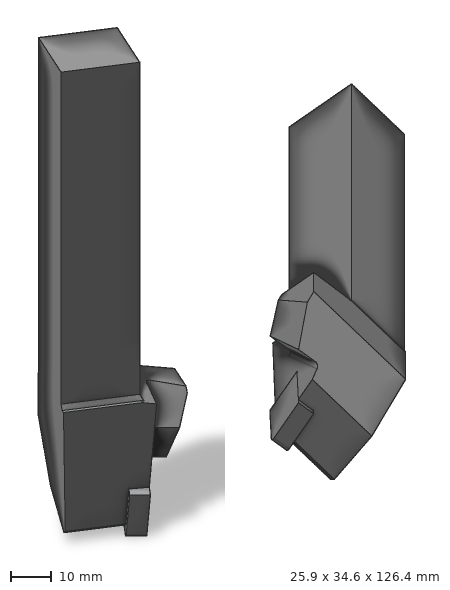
import cadquery as cq
import math

top_z = 126.4
shank_side = 20.0
shank_left = 0.4
shoulder_z = 34.9

foot_height = 1.3
foot_right = 1.1
foot_back = 0.8

head_depth = 34.6
flank_bottom_z = 23.6
heel_x = 10.9
heel_z = 9.6
nose_x = 22.9
nose_z = 2.4
nose_side_x = 24.0
nose_side_z = 3.3
head_right = 22.5

shoulder_back_z = 31.6
shoulder_drop = (shoulder_z - shoulder_back_z) / (head_depth - shank_side)

seat_y = 22.5
seat_slope_x = -0.09
seat_slope_z = 0.092

ridge_x = 16.2
ridge_z = 24.9
upper_wall_run = 15.2
upper_wall_angle = 132.5
lower_wall_run = 17.7
lower_wall_angle = 236.0
gutter_right = 37.9
gutter_bottom = -6.3
gutter_height = 19.0
gutter_fillet = 1.3

relief_slope = 0.3
relief_y = 28.9
relief_size = 75.8
relief_depth = 19.0

insert_side = 11.6
insert_tip_radius = 0.6
insert_thickness = 5.2
insert_tip_x = 26.0
insert_tip_z = -0.5
insert_edge_angle = 92.5
insert_corner = 57.0


def sloped_plane(height, slope_x, slope_z):
    """Plane y = height + slope_x * x + slope_z * z, with its normal toward the front."""
    return cq.Plane(
        origin=(0, height, 0),
        xDir=(1, slope_x, 0),
        normal=(slope_x, -1, slope_z),
    )


def polar(start, length, angle):
    """Point at a distance and an angle in degrees from a start point."""
    turn = math.radians(angle)
    return (start[0] + length * math.cos(turn), start[1] + length * math.sin(turn))


seat = sloped_plane(seat_y, seat_slope_x, seat_slope_z)


def make_insert():
    tip = (insert_tip_x, insert_tip_z)
    lower_edge_angle = insert_edge_angle + insert_corner
    upper = polar(tip, insert_side, insert_edge_angle)
    left = polar(tip, insert_side, lower_edge_angle)
    inner = polar(upper, insert_side, lower_edge_angle)
    blank = cq.Workplane(seat).polyline([tip, upper, inner, left]).close().extrude(insert_thickness)
    middle = seat.toWorldCoords((*tip, insert_thickness / 2))
    tip_edge = cq.selectors.NearestToPointSelector(middle.toTuple())
    return blank.edges(tip_edge).fillet(insert_tip_radius)


def make_head():
    outline = [
        (0, shoulder_z),
        (0, flank_bottom_z),
        (heel_x, heel_z),
        (nose_x, nose_z),
        (nose_side_x, nose_side_z),
        (head_right, shoulder_z),
    ]
    return cq.Workplane("XZ").polyline(outline).close().extrude(-head_depth)


def corners(left, right, depth):
    """Corners of a rectangle in XY that starts on y = 0."""
    return [(left, 0), (right, 0), (right, depth), (left, depth)]


def make_shoulder_slope():
    """Wedge above the sloping part of the shoulder."""
    profile = [
        (shank_side, shoulder_z),
        (head_depth, shoulder_z),
        (head_depth, shoulder_back_z),
    ]
    return cq.Workplane("YZ").polyline(profile).close().extrude(nose_side_x)


def make_shank():
    shank_length = top_z - flank_bottom_z
    shank = cq.Workplane("XY").box(shank_side, shank_side, shank_length, centered=False)
    return shank.translate((shank_left, 0, flank_bottom_z))


def make_foot():
    """Tapered band around the left, back and right sides of the shank's lower end."""
    foot_width = shank_left + shank_side + foot_right
    foot_depth = shank_side + foot_back
    foot_bottom_z = shoulder_z - foot_back * shoulder_drop
    lower = cq.Wire.makePolygon(
        [cq.Vector(x, y, foot_bottom_z) for x, y in corners(0, foot_width, foot_depth)], close=True
    )
    upper = cq.Wire.makePolygon(
        [
            cq.Vector(x, y, shoulder_z + foot_height)
            for x, y in corners(shank_left, shank_left + shank_side, shank_side)
        ],
        close=True,
    )
    return cq.Workplane(cq.Solid.makeLoft([lower, upper], True))


def make_gutter():
    """Space behind the seat plane, beside the ridge, with rounded floor edges."""
    ridge = (ridge_x, ridge_z)
    upper = polar(ridge, upper_wall_run, upper_wall_angle)
    lower = polar(ridge, lower_wall_run, lower_wall_angle)
    outline = [
        upper,
        ridge,
        lower,
        (lower[0], gutter_bottom),
        (gutter_right, gutter_bottom),
        (gutter_right, upper[1]),
    ]
    gutter = cq.Workplane(seat).polyline(outline).close().extrude(-gutter_height)
    for end in (upper, lower):
        middle = seat.toWorldCoords(((ridge[0] + end[0]) / 2, (ridge[1] + end[1]) / 2))
        edge = cq.selectors.NearestToPointSelector(middle.toTuple())
        gutter = gutter.edges(edge).fillet(gutter_fillet)
    return gutter


def make_relief():
    relief_plane = sloped_plane(relief_y, -relief_slope, relief_slope)
    return cq.Workplane(relief_plane).rect(relief_size, relief_size).extrude(-relief_depth)


def make_holder(insert):
    holder = make_head().cut(make_shoulder_slope()).union(make_shank()).union(make_foot())
    return holder.cut(make_relief()).cut(make_gutter()).cut(insert)


insert = make_insert()
holder = make_holder(insert)
result = cq.Compound.makeCompound([holder.solids().val(), insert.solids().val()])